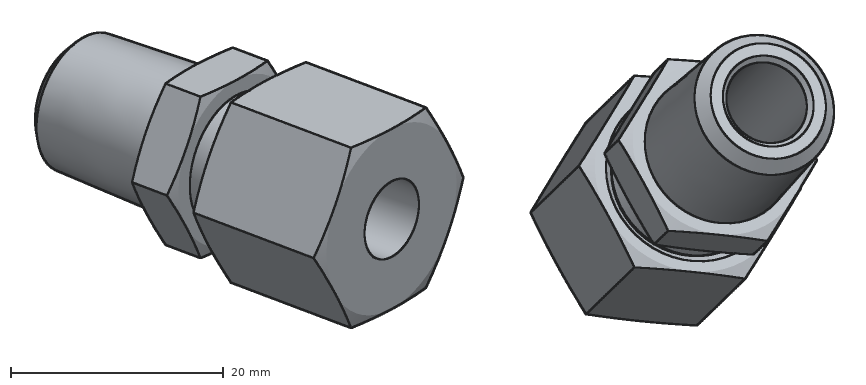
import cadquery as cq
import math


total_length = 39.0
pipe_thread_length = 15.0
body_hex_length = 5.0
neck_length = 2.65
nut_length = 15.52
shank_end = 31.0

pipe_end_chamfer = 1.2
pipe_radius = 6.9
pipe_taper = 1 / 16
bore_radius = 3.98
bore_countersink_depth = 0.5

neck_radius = pipe_radius
thread_radius = 7.7
thread_lead_angle = 30.0
nut_countersink_radius = 8.42

hex_sides = 6
body_hex_across_flats = 17.0
nut_across_flats = 19.0
hex_chamfer_angle = 15.0

pipe_base_radius = pipe_radius + (pipe_thread_length - pipe_end_chamfer) * pipe_taper / 2
body_hex_end = pipe_thread_length + body_hex_length
neck_end = body_hex_end + neck_length
thread_start = neck_end + (thread_radius - neck_radius) / math.tan(math.radians(thread_lead_angle))
nut_start = total_length - nut_length
nut_countersink_depth = nut_countersink_radius - thread_radius


def revolve_profile(points):
    """Solid of revolution about X from (x, radius) points."""
    return cq.Workplane("XY").polyline(points).close().revolve(360, (0, 0, 0), (1, 0, 0))


def make_chamfered_hex(start, length, across_flats):
    """Hexagonal prism along X, flats facing +Z and -Z, corners coned off at both ends."""
    face_radius = across_flats / 2
    corner_radius = face_radius / math.cos(math.pi / hex_sides)
    cone_depth = (corner_radius - face_radius) * math.tan(math.radians(hex_chamfer_angle))
    end = start + length
    prism = cq.Workplane("YZ", origin=(start, 0, 0)).polygon(hex_sides, 2 * corner_radius).extrude(length)
    envelope = revolve_profile([
        (start, 0),
        (start, face_radius),
        (start + cone_depth, corner_radius),
        (end - cone_depth, corner_radius),
        (end, face_radius),
        (end, 0),
    ])
    return prism.intersect(envelope)


def make_shank():
    """Outer shape of the body without its hexagon: pipe thread, neck and nut thread."""
    return revolve_profile([
        (0, 0),
        (0, pipe_radius - pipe_end_chamfer),
        (pipe_end_chamfer, pipe_radius),
        (pipe_thread_length, pipe_base_radius),
        (pipe_thread_length, neck_radius),
        (neck_end, neck_radius),
        (thread_start, thread_radius),
        (shank_end, thread_radius),
        (shank_end, 0),
    ])


def make_bore():
    """Passage through the body, countersunk at the pipe end."""
    return revolve_profile([
        (0, 0),
        (0, bore_radius + bore_countersink_depth),
        (bore_countersink_depth, bore_radius),
        (shank_end, bore_radius),
        (shank_end, 0),
    ])


def make_body():
    hexagon = make_chamfered_hex(pipe_thread_length, body_hex_length, body_hex_across_flats)
    return make_shank().union(hexagon).cut(make_bore())


def make_nut():
    """Union nut with a countersunk recess that fits the shank and a smaller hole through its end."""
    hexagon = make_chamfered_hex(nut_start, nut_length, nut_across_flats)
    openings = revolve_profile([
        (nut_start, 0),
        (nut_start, nut_countersink_radius),
        (nut_start + nut_countersink_depth, thread_radius),
        (shank_end, thread_radius),
        (shank_end, bore_radius),
        (total_length, bore_radius),
        (total_length, 0),
    ])
    return hexagon.cut(openings)


body = make_body()
nut = make_nut()
result = cq.Compound.makeCompound([body.solids().val(), nut.solids().val()])